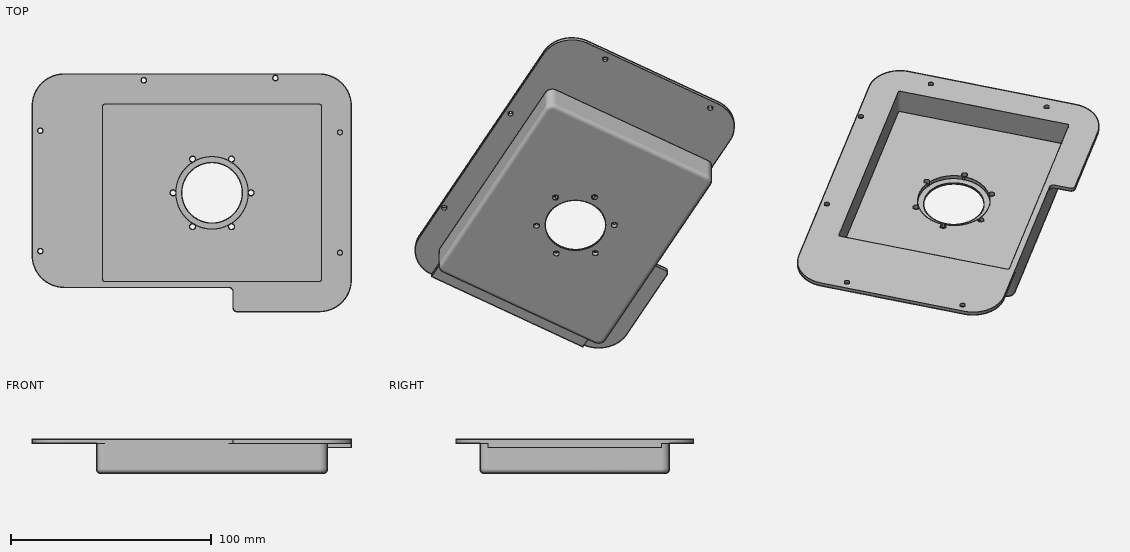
import cadquery as cq

plate_length = 159.0
plate_width = 118.5
plate_thickness = 2.0
plate_corner_radius = 16.0
step_x = 100.0
step_depth = 12.1
step_radius = 2.0

total_height = 17.0
tray_left = 32.1
tray_length = 115.0
tray_width = 94.3
wall = 3.0
floor_thickness = 3.0
pocket_corner_radius = 1.0
tray_corner_radius = pocket_corner_radius + wall
tray_bottom_radius = 2.0
tray_center = (tray_left + tray_length / 2, step_depth + tray_width / 2)

opening_diameter = 30.0
recess_diameter = 36.1
recess_depth = 2.0
ring_diameter = 38.8
ring_hole_count = 6
ring_hole_diameter = 2.9

plate_hole_diameter = 2.5
hole_spacing = 60.0
left_hole_x = 4.1
left_hole_y = 30.2
right_hole_x = 153.3
right_hole_y = 29.4
rear_holes = [(55.6, 115.3), (121.2, 116.4)]
pad_thickness = 2.0


def make_plate():
    """Rounded plate whose front edge is set back on the left."""
    plate = (
        cq.Workplane("XY")
        .moveTo(0, step_depth)
        .lineTo(step_x, step_depth)
        .lineTo(step_x, 0)
        .lineTo(plate_length, 0)
        .lineTo(plate_length, plate_width)
        .lineTo(0, plate_width)
        .close()
        .extrude(-plate_thickness)
    )
    step_edges = cq.selectors.BoxSelector(
        (step_x - step_radius, -step_radius, -plate_thickness),
        (step_x + step_radius, step_depth + step_radius, 0),
    )
    plate = plate.edges("|Z").edges(step_edges).fillet(step_radius)
    outer_edges = plate.edges("|Z and (<X or >X)")
    return outer_edges.fillet(plate_corner_radius)


def make_tray():
    """Solid block of the tray with rounded sides and bottom."""
    return (
        cq.Workplane("XY")
        .center(*tray_center)
        .rect(tray_length, tray_width)
        .extrude(-total_height)
        .edges("|Z")
        .fillet(tray_corner_radius)
        .faces("<Z")
        .edges()
        .fillet(tray_bottom_radius)
    )


def make_pad():
    """Strip under the right margin of the plate, along the straight part of the tray side."""
    pad_start = tray_left + tray_length - wall
    pad_width = tray_width - 2 * tray_corner_radius
    return (
        cq.Workplane("XY")
        .workplane(offset=-plate_thickness)
        .center((pad_start + plate_length) / 2, tray_center[1])
        .rect(plate_length - pad_start, pad_width)
        .extrude(-pad_thickness)
    )


def make_pocket():
    """Space inside the tray."""
    return (
        cq.Workplane("XY")
        .center(*tray_center)
        .rect(tray_length - 2 * wall, tray_width - 2 * wall)
        .extrude(floor_thickness - total_height)
        .edges("|Z")
        .fillet(pocket_corner_radius)
    )


def make_opening():
    """Stepped opening and screw holes in the tray floor."""
    floor = cq.Workplane("XY").workplane(offset=floor_thickness - total_height).center(*tray_center)
    recess = floor.circle(recess_diameter / 2).extrude(-recess_depth)
    through = floor.circle(opening_diameter / 2).extrude(-floor_thickness)
    screws = (
        floor.polarArray(ring_diameter / 2, 0, 360, ring_hole_count)
        .circle(ring_hole_diameter / 2)
        .extrude(-floor_thickness)
    )
    return recess.union(through).union(screws)


def make_plate_holes():
    """Screw holes that pass through the plate only."""
    points = list(rear_holes)
    for x, y in [(left_hole_x, left_hole_y), (right_hole_x, right_hole_y)]:
        points += [(x, y), (x, y + hole_spacing)]
    return cq.Workplane("XY").pushPoints(points).circle(plate_hole_diameter / 2).extrude(-plate_thickness)


result = make_plate().union(make_tray()).union(make_pad())
result = result.cut(make_pocket()).cut(make_opening()).cut(make_plate_holes())